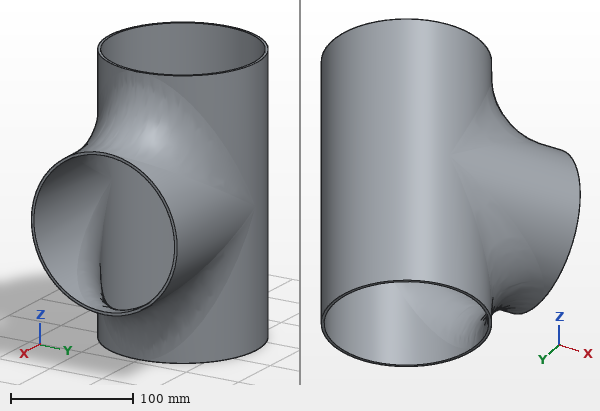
import cadquery as cq
import math

RUN_LENGTH = 248.0
PIPE_DIAMETER = 139.5
WALL = 2.5
REACH = RUN_LENGTH / 2

BLEND_SECTIONS = 11


def in_elevation(points):
    """Prism over an XZ outline, long enough in Y to span the pipe."""
    return cq.Workplane("XZ").polyline(points).close().extrude(PIPE_DIAMETER, both=True)


def run_wall(radius):
    """Cylindrical face of the run, bounded by the slanted planes where the blends begin."""
    cylinder = cq.Workplane("XY", origin=(0, 0, -REACH)).circle(radius).extrude(RUN_LENGTH)
    back = -PIPE_DIAMETER
    kept = in_elevation([(0, 0), (radius, REACH), (back, REACH), (back, -REACH), (radius, -REACH)])
    return cylinder.intersect(kept).faces("%CYLINDER").vals()


def branch_wall(radius):
    """Cylindrical faces of the branch, bounded by the slanted planes where the blends end."""
    cylinder = cq.Workplane("YZ").circle(radius).extrude(REACH)
    kept = in_elevation([(0, 0), (REACH, radius), (REACH, -radius)])
    return cylinder.intersect(kept).faces("%CYLINDER").vals()


def blend_section(radius, arc_angle):
    """Half-ellipse about the tee centre, spanning the pipe in Y and reaching the crotch arc."""
    arc_radius = REACH - radius
    x = REACH - arc_radius * math.cos(arc_angle)
    z = REACH - arc_radius * math.sin(arc_angle)
    plane = cq.Plane(origin=(0, 0, 0), xDir=(x, 0, z), normal=(z, 0, -x))
    half_ellipse = cq.Edge.makeEllipse(
        math.hypot(x, z), radius, plane.origin, plane.zDir, plane.xDir, -90, 90
    )
    axis_line = cq.Edge.makeLine(half_ellipse.endPoint(), half_ellipse.startPoint())
    return cq.Wire.assembleEdges([half_ellipse, axis_line])


def blend_walls(radius):
    """Upper and lower crotch faces, each narrowing to a point at both sides of the tee."""
    angles = [math.pi / 2 * step / (BLEND_SECTIONS - 1) for step in range(BLEND_SECTIONS)]
    wedge = cq.Solid.makeLoft([blend_section(radius, angle) for angle in angles])
    curved_faces = [face for face in wedge.Faces() if face.geomType() == "BSPLINE"]
    upper = max(curved_faces, key=lambda face: face.Area())
    return [upper, upper.mirror("XY")]


def tee_walls(radius):
    """All faces of a tee surface with open ends."""
    return run_wall(radius) + branch_wall(radius) + blend_walls(radius)


def end_ring(centre, direction):
    """Flat annular face closing the pipe wall at one open end."""
    plane = cq.Plane(origin=centre, normal=direction)
    circles = [
        cq.Wire.makeCircle(radius, plane.origin, plane.zDir)
        for radius in (outer_radius, inner_radius)
    ]
    return cq.Face.makeFromWires(circles[0], [circles[1]])


outer_radius = PIPE_DIAMETER / 2
inner_radius = outer_radius - WALL

end_rings = [
    end_ring((0, 0, REACH), (0, 0, 1)),
    end_ring((0, 0, -REACH), (0, 0, -1)),
    end_ring((REACH, 0, 0), (1, 0, 0)),
]

shell = cq.Shell.makeShell(tee_walls(outer_radius) + tee_walls(inner_radius) + end_rings)
result = cq.Workplane(cq.Solid.makeSolid(shell))